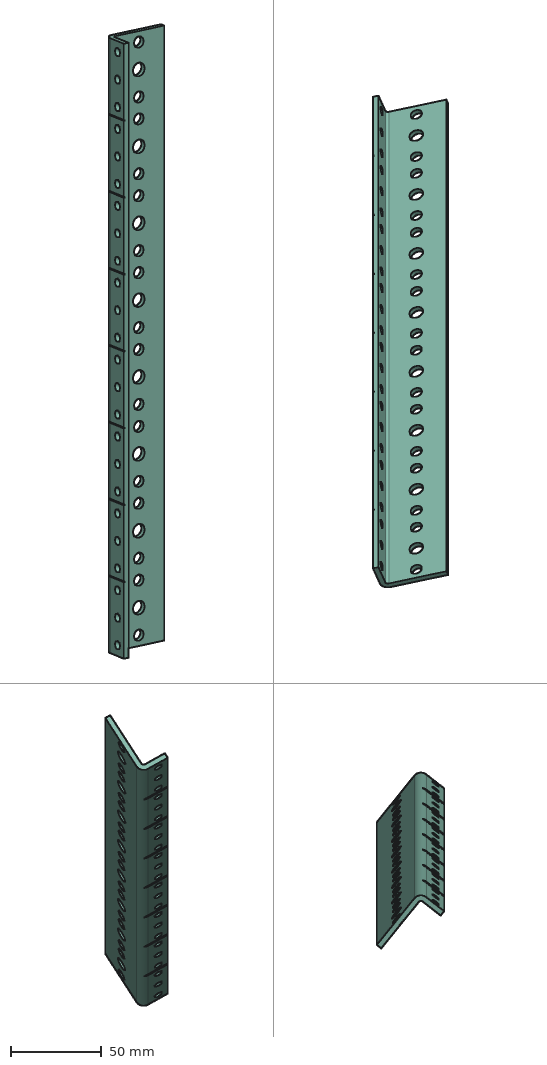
import cadquery as cq

width = 17.5
depth = 38.0
length = 355.5

thickness = 3.2
outer_bend_radius = 4.5
inner_bend_radius = outer_bend_radius - thickness

unit_count = 8
unit_height = length / unit_count
hole_pitch = unit_height * 5 / 14
narrow_flange_hole_x = 11.5
wide_flange_hole_y = 20.5
narrow_flange_hole_diameter = 4.5
wide_flange_outer_hole_diameter = 6.5
wide_flange_middle_hole_diameter = 8.0

groove_depth = 0.5
groove_height = 0.5


def angle_profile():
    """L-shaped sheet with a rounded bend at the corner."""
    return (
        cq.Workplane("XY")
        .rect(width, depth, centered=False)
        .extrude(length)
        .edges("|Z and <X and <Y")
        .fillet(outer_bend_radius)
        .cut(inner_space())
    )


def inner_space():
    """Open space enclosed by the two flanges."""
    return (
        cq.Workplane("XY")
        .rect(width - thickness, depth - thickness, centered=False)
        .extrude(length)
        .edges("|Z and <X and <Y")
        .fillet(inner_bend_radius)
        .translate((thickness, thickness, 0))
    )


def narrow_flange_holes(heights, diameter):
    """Cutters along Y through the narrow flange."""
    points = [(narrow_flange_hole_x, z) for z in heights]
    return cq.Workplane("XZ").pushPoints(points).circle(diameter / 2).extrude(-thickness)


def wide_flange_holes(heights, diameter):
    """Cutters along X through the wide flange."""
    points = [(wide_flange_hole_y, z) for z in heights]
    return cq.Workplane("YZ").pushPoints(points).circle(diameter / 2).extrude(thickness)


def unit_groove(z):
    """Shallow groove across the outer face of the narrow flange."""
    return (
        cq.Workplane("XY")
        .box(width, groove_depth, groove_height, centered=(False, False, True))
        .translate((0, 0, z))
    )


middle_heights = [(unit + 0.5) * unit_height for unit in range(unit_count)]
outer_heights = [z + side * hole_pitch for z in middle_heights for side in (-1, 1)]

result = angle_profile()
result = result.cut(narrow_flange_holes(middle_heights + outer_heights, narrow_flange_hole_diameter))
result = result.cut(wide_flange_holes(middle_heights, wide_flange_middle_hole_diameter))
result = result.cut(wide_flange_holes(outer_heights, wide_flange_outer_hole_diameter))
for boundary in range(1, unit_count):
    result = result.cut(unit_groove(boundary * unit_height))